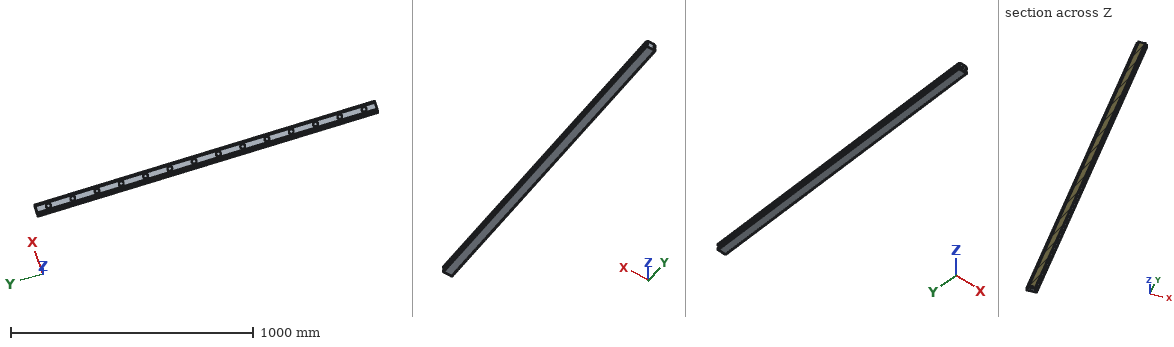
import cadquery as cq
import math

WIDTH = 45.0
HEIGHT = 38.0
LENGTH = 1470.0

NECK_WIDTH = 29.0
TOP_WIDTH = 28.5
FOOT_SIDE_TOP = 7.5
NECK_BOTTOM = 15.5
NECK_TOP = 22.0
HEAD_SIDE_BOTTOM = 26.25
HEAD_SIDE_TOP = 30.5
GROOVE_LAND_TOP = 3.0
GROOVE_LAND_UNDER = 2.25
GROOVE_SAG = 0.75
FOOT_CHAMFER = 1.5

RECESS_COUNT = 14
RECESS_PITCH = LENGTH / RECESS_COUNT
RECESS_DIAMETER = 20.0
RECESS_DEPTH = 0.75

END_HOLE_X = -1.0
END_HOLE_DIAMETER = 7.0
END_HOLE_DEPTH = 10.0
END_HOLE_HEIGHT = HEIGHT / 2


def groove_points(start, end, land):
    """Start, middle and end of a ball groove sunk to the left of the face from start to end."""
    run, rise = end[0] - start[0], end[1] - start[1]
    face_length = math.hypot(run, rise)
    along = (run / face_length, rise / face_length)
    left = (-along[1], along[0])
    groove_start = (start[0] + land * along[0], start[1] + land * along[1])
    groove_end = (end[0] - land * along[0], end[1] - land * along[1])
    groove_middle = (
        (start[0] + end[0]) / 2 + GROOVE_SAG * left[0],
        (start[1] + end[1]) / 2 + GROOVE_SAG * left[1],
    )
    return groove_start, groove_middle, groove_end


def make_rail():
    """Extrude half of the rail section both ways along Y and mirror it about X = 0."""
    half = WIDTH / 2
    neck_top = (NECK_WIDTH / 2, NECK_TOP)
    side_bottom = (half, HEAD_SIDE_BOTTOM)
    side_top = (half, HEAD_SIDE_TOP)
    top_edge = (TOP_WIDTH / 2, HEIGHT)
    under_start, under_middle, under_end = groove_points(neck_top, side_bottom, GROOVE_LAND_UNDER)
    upper_start, upper_middle, upper_end = groove_points(side_top, top_edge, GROOVE_LAND_TOP)
    half_section = (
        cq.Workplane("XZ")
        .lineTo(half - FOOT_CHAMFER, 0)
        .lineTo(half, FOOT_CHAMFER)
        .lineTo(half, FOOT_SIDE_TOP)
        .lineTo(NECK_WIDTH / 2, NECK_BOTTOM)
        .lineTo(*neck_top)
        .lineTo(*under_start)
        .threePointArc(under_middle, under_end)
        .lineTo(*side_bottom)
        .lineTo(*side_top)
        .lineTo(*upper_start)
        .threePointArc(upper_middle, upper_end)
        .lineTo(*top_edge)
        .lineTo(0, HEIGHT)
        .close()
    )
    half_rail = half_section.extrude(LENGTH / 2, both=True)
    return half_rail.union(half_rail.mirror("YZ"))


def make_recesses():
    """Row of shallow round recesses, half a pitch in from each end."""
    first_y = (RECESS_PITCH - LENGTH) / 2
    centres = [(0, first_y + i * RECESS_PITCH) for i in range(RECESS_COUNT)]
    floor = cq.Workplane("XY").workplane(offset=HEIGHT - RECESS_DEPTH)
    return floor.pushPoints(centres).circle(RECESS_DIAMETER / 2).extrude(RECESS_DEPTH)


def make_end_hole():
    """Blind hole bored inward from the -Y end face."""
    face = cq.Workplane("XZ", origin=(END_HOLE_X, -LENGTH / 2, END_HOLE_HEIGHT))
    return face.circle(END_HOLE_DIAMETER / 2).extrude(-END_HOLE_DEPTH)


rail = make_rail().cut(make_recesses()).cut(make_end_hole())
result = cq.Workplane(rail.solids().val())